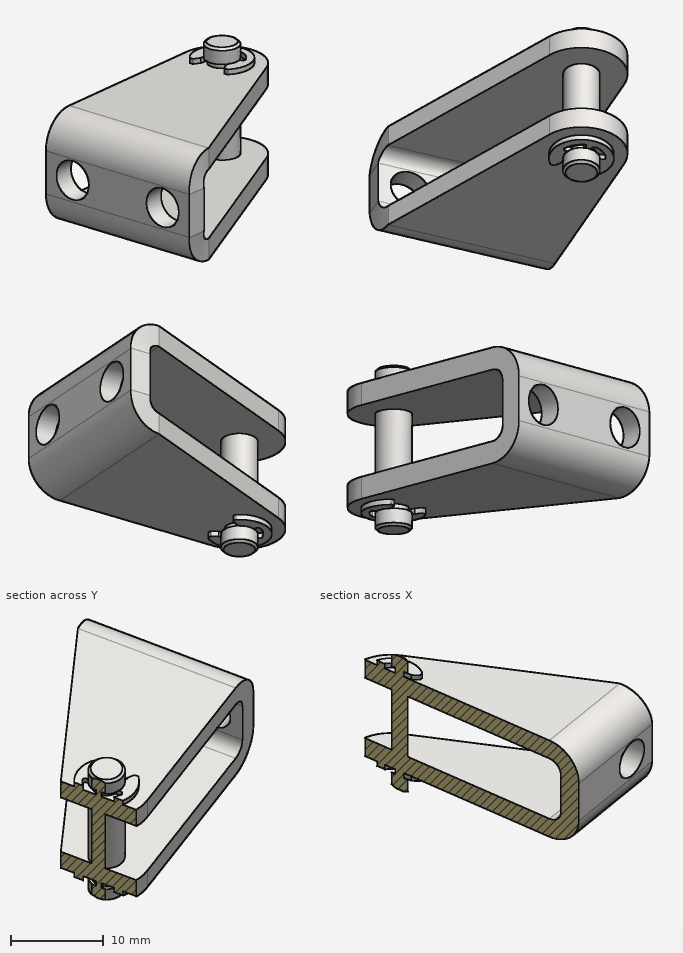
import cadquery as cq
import math

length = 29.0
width = 20.0
height = 13.02
wall = 2.5
bend_radius = 4.0
inner_bend_radius = bend_radius - wall
eye_radius = 5.0
half_height = height / 2
half_web = half_height - bend_radius
bend_rise = 0.58

hole_diameter = 4.5
hole_inset = 3.75

pin_x = eye_radius
pin_y = length - eye_radius
pin_length = 18.0
pin_radius = 2.0
pin_chamfer = 0.3
groove_radius = 1.62

clip_radius = 3.5
clip_thickness = 0.6
window_radius = 2.6
window_end_angle = 15.0
window_fillet = 0.3
tab_half_width = 0.35
mouth_half_width = 1.7
mouth_flare_y = -1.5
tip_half_gap = 2.18
tip_y = -2.3
tip_fillet = 0.17


def cheek():
    """Upper plate: a round eye joined to the bend by a tangent sloping edge."""
    corner_x = width - bend_rise
    run_x = corner_x - pin_x
    run_y = bend_radius - pin_y
    tangent_angle = math.atan2(run_y, run_x) + math.acos(eye_radius / math.hypot(run_x, run_y))
    tangent_point = (
        pin_x + eye_radius * math.cos(tangent_angle),
        pin_y + eye_radius * math.sin(tangent_angle),
    )
    return (
        cq.Workplane("XY", origin=(0, 0, half_height - wall))
        .moveTo(0, bend_radius)
        .lineTo(corner_x, bend_radius)
        .lineTo(*tangent_point)
        .threePointArc((pin_x, length), (0, pin_y))
        .close()
        .extrude(wall)
    )


def bend_profile():
    """Quarter ring across the upper bend, centred on the bend axis."""
    diagonal = bend_radius * math.sqrt(0.5)
    inner_diagonal = inner_bend_radius * math.sqrt(0.5)
    return (
        cq.Workplane("YZ", origin=(0, bend_radius, half_web))
        .moveTo(0, bend_radius)
        .threePointArc((-diagonal, diagonal), (-bend_radius, 0))
        .lineTo(-inner_bend_radius, 0)
        .threePointArc((-inner_diagonal, inner_diagonal), (0, inner_bend_radius))
        .close()
    )


def bend():
    """Upper bend, whose sloping end follows a helix about the bend axis."""
    cutter_size = 2 * bend_radius
    helical_cutter = (
        cq.Workplane("YZ", origin=(width - bend_rise, bend_radius, half_web))
        .rect(cutter_size, cutter_size, centered=False)
        .twistExtrude(bend_rise, 90)
    )
    return bend_profile().extrude(width).cut(helical_cutter)


def web():
    """Flat wall between the bends, with two mounting holes."""
    plate = cq.Workplane("XY").box(width, wall, 2 * half_web).translate((width / 2, wall / 2, 0))
    holes = (
        cq.Workplane("XZ")
        .pushPoints([(hole_inset, 0), (width - hole_inset, 0)])
        .circle(hole_diameter / 2)
        .extrude(-wall)
    )
    return plate.cut(holes)


def pin():
    """Chamfered pin, necked where the clips sit against the cheeks."""
    body = (
        cq.Workplane("XY")
        .circle(pin_radius)
        .extrude(pin_length / 2, both=True)
        .faces("<Z or >Z")
        .chamfer(pin_chamfer)
    )
    groove = (
        cq.Workplane("XY", origin=(0, 0, half_height))
        .circle(pin_radius)
        .circle(groove_radius)
        .extrude(clip_thickness)
    )
    body = body.cut(groove).cut(groove.mirror("XY"))
    return body.translate((pin_x, pin_y, 0))


def clip_windows():
    """Two curved openings separated by the central tab of a clip."""
    end_angle = math.radians(window_end_angle)
    end_x = window_radius * math.cos(end_angle)
    end_y = window_radius * math.sin(end_angle)
    tab_y = math.sqrt(window_radius**2 - tab_half_width**2)
    middle = window_radius * math.sqrt(0.5)
    window = (
        cq.Workplane("XY")
        .moveTo(tab_half_width, end_y)
        .lineTo(end_x, end_y)
        .threePointArc((middle, middle), (tab_half_width, tab_y))
        .close()
        .extrude(clip_thickness)
    )
    window = window.edges("|Z").edges(">X or >Y").fillet(window_fillet)
    return window.union(window.mirror("YZ"))


def clip():
    """E-shaped clip lying on the outer face of the upper cheek."""
    ring = cq.Workplane("XY").circle(clip_radius).circle(groove_radius).extrude(clip_thickness)
    mouth = (
        cq.Workplane("XY")
        .polyline([
            (-groove_radius, 0),
            (-mouth_half_width, mouth_flare_y),
            (-tip_half_gap, tip_y),
            (-clip_radius, tip_y),
            (-clip_radius, -clip_radius),
            (clip_radius, -clip_radius),
            (clip_radius, tip_y),
            (tip_half_gap, tip_y),
            (mouth_half_width, mouth_flare_y),
            (groove_radius, 0),
        ])
        .close()
        .extrude(clip_thickness)
    )
    ring = ring.cut(mouth)
    ring = ring.edges("|Z and <Y").fillet(tip_fillet)
    return ring.cut(clip_windows()).translate((pin_x, pin_y, half_height))


upper_side = cheek().union(bend()).union(clip())
result = web().union(upper_side).union(upper_side.mirror("XY")).union(pin())